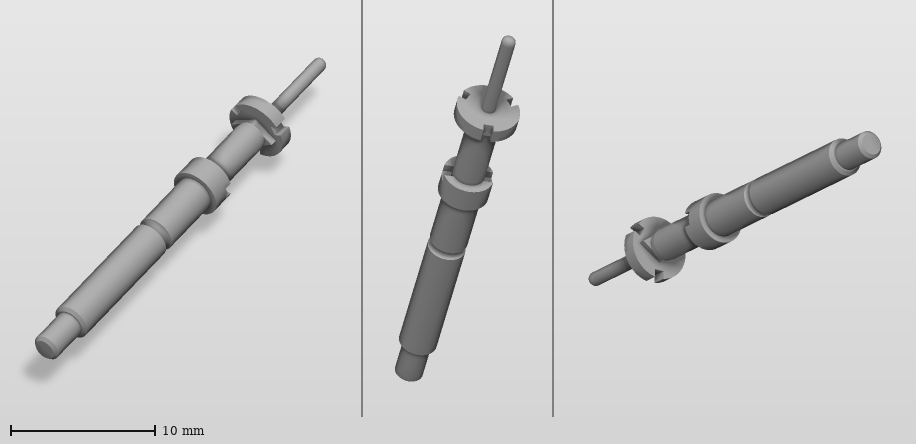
import cadquery as cq

total_length = 33.3

barrel_front_y = 2.95
groove_y = 13.0
collar_front_y = 18.0
collar_back_y = 19.85
neck_front_y = 24.35
key_front_y = 24.8
flange_front_y = 25.3
flange_back_y = 26.35

plunger_radius = 2.0 / 2
barrel_radius = 2.7 / 2
collar_radius = 3.6 / 2
tube_radius = 2.3 / 2
neck_radius = 2.15 / 2
flange_radius = 4.5 / 2
pin_radius = 1.0 / 2

plunger_chamfer = 0.23
barrel_chamfer = 0.23
pin_tip_round = 0.4
groove_half_width = 0.33
groove_depth = 0.25

slot_count = 3
slot_width = 0.7
slot_floor_radius = 1.65

notch_width = 1.0
notch_depth = 0.55

key_half_width = 1.7
key_half_height = 1.1


def cylinder(radius, start_y, end_y):
    """Solid cylinder on the Y axis between two positions."""
    plane = cq.Workplane("XZ", origin=(0, end_y, 0))
    return plane.circle(radius).extrude(end_y - start_y)


def make_plunger():
    """Plunger with a chamfered tip."""
    plunger = cylinder(plunger_radius, 0, barrel_front_y)
    return plunger.faces("<Y").edges().chamfer(plunger_chamfer)


def make_barrel():
    """Barrel with a chamfered front and a rounded groove around it."""
    barrel = cylinder(barrel_radius, barrel_front_y, collar_front_y)
    barrel = barrel.faces("<Y").edges().chamfer(barrel_chamfer)
    groove = (
        cq.Workplane("XY")
        .moveTo(barrel_radius, groove_y - groove_half_width)
        .threePointArc(
            (barrel_radius - groove_depth, groove_y),
            (barrel_radius, groove_y + groove_half_width),
        )
        .close()
        .revolve(360, (0, 0, 0), (0, 1, 0))
    )
    return barrel.cut(groove)


def make_collar():
    """Collar with a notch on each side, cut down to the tube."""
    collar = cylinder(collar_radius, collar_front_y, collar_back_y)
    notches = cq.Workplane("XY").box(2 * collar_radius, notch_depth, notch_width)
    notches = notches.translate((0, collar_back_y - notch_depth / 2, 0))
    return collar.cut(notches)


def make_tube():
    """Tube that narrows conically in front of the key."""
    tube = cylinder(tube_radius, collar_front_y, neck_front_y)
    taper = (
        cq.Workplane("XZ", origin=(0, neck_front_y, 0))
        .circle(tube_radius)
        .workplane(offset=neck_front_y - key_front_y)
        .circle(neck_radius)
        .loft()
    )
    return tube.union(taper)


def make_key():
    """Diamond prism whose side corners stick out past the neck."""
    plane = cq.Workplane("XZ", origin=(0, flange_front_y, 0))
    corners = [
        (-key_half_width, 0),
        (0, key_half_height),
        (key_half_width, 0),
        (0, -key_half_height),
    ]
    return plane.polyline(corners).close().extrude(flange_front_y - key_front_y)


def make_flange():
    """Flange with evenly spaced radial slots, the first one at the bottom."""
    flange = cylinder(flange_radius, flange_front_y, flange_back_y)
    slot_reach = flange_radius
    slot = cq.Workplane("XY").box(slot_width, flange_back_y - flange_front_y, slot_reach)
    flange_middle_y = (flange_front_y + flange_back_y) / 2
    slot = slot.translate((0, flange_middle_y, -slot_floor_radius - slot_reach / 2))
    for index in range(slot_count):
        flange = flange.cut(slot.rotate((0, 0, 0), (0, 1, 0), index * 360 / slot_count))
    return flange


def make_pin():
    """Thin pin behind the flange, with a rounded end."""
    pin = cylinder(pin_radius, flange_back_y, total_length)
    return pin.faces(">Y").edges().fillet(pin_tip_round)


result = (
    make_plunger()
    .union(make_barrel())
    .union(make_collar())
    .union(make_tube())
    .union(make_key())
    .union(make_flange())
    .union(make_pin())
)